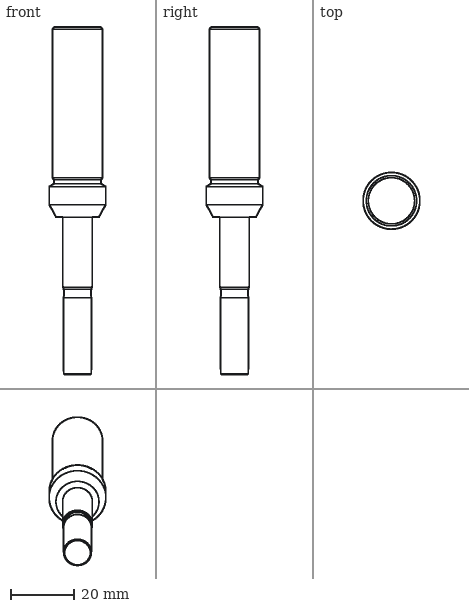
import cadquery as cq

HANDLE_TOP = 110.0
HANDLE_BOTTOM = 62.3
COLLAR_TOP = 59.5
COLLAR_SHOULDER = 53.8
COLLAR_BOTTOM = 49.8
STEM_BOTTOM = 27.7
JOINT = 24.3

HANDLE_RADIUS = 16.0 / 2
HANDLE_GROOVE_RADIUS = 15.0 / 2
HANDLE_CHAMFER = 0.7
GROOVE_CHAMFER_HEIGHT = 0.7
COLLAR_RADIUS = 18.0 / 2
COLLAR_BOTTOM_RADIUS = 6.8
COLLAR_CONE_HEIGHT = 0.9
FLARE_SAG = 0.07

STEM_RADIUS = 9.5 / 2
NECK_LAND_RADIUS = 8.9 / 2
NECK_LAND_HEIGHT = 0.7
NECK_RADIUS = 8.7 / 2
NECK_FLARE_RADIUS = 8.9 / 2
NECK_FLARE_HEIGHT = 0.7

PLUG_RIM_RADIUS = 9.0 / 2
PLUG_RADIUS = 8.9 / 2
PLUG_RIM_HEIGHT = 1.6
PLUG_NOSE_HEIGHT = 2.3
PLUG_NOSE_RADIUS = 8.8 / 2
PLUG_TIP_CHAMFER = 0.3


def make_handle():
    """Turned handle with its collar, stem and neck."""
    flare_middle = (
        (COLLAR_RADIUS + COLLAR_BOTTOM_RADIUS) / 2 - FLARE_SAG,
        (COLLAR_SHOULDER + COLLAR_BOTTOM) / 2,
    )
    return (
        cq.Workplane("XZ")
        .moveTo(0, HANDLE_TOP)
        .lineTo(HANDLE_RADIUS - HANDLE_CHAMFER, HANDLE_TOP)
        .lineTo(HANDLE_RADIUS, HANDLE_TOP - HANDLE_CHAMFER)
        .lineTo(HANDLE_RADIUS, HANDLE_BOTTOM)
        .lineTo(HANDLE_GROOVE_RADIUS, HANDLE_BOTTOM - GROOVE_CHAMFER_HEIGHT)
        .lineTo(HANDLE_GROOVE_RADIUS, COLLAR_TOP + COLLAR_CONE_HEIGHT)
        .lineTo(COLLAR_RADIUS, COLLAR_TOP)
        .lineTo(COLLAR_RADIUS, COLLAR_SHOULDER)
        .threePointArc(flare_middle, (COLLAR_BOTTOM_RADIUS, COLLAR_BOTTOM))
        .lineTo(STEM_RADIUS, COLLAR_BOTTOM)
        .lineTo(STEM_RADIUS, STEM_BOTTOM)
        .lineTo(NECK_LAND_RADIUS, STEM_BOTTOM)
        .lineTo(NECK_LAND_RADIUS, STEM_BOTTOM - NECK_LAND_HEIGHT)
        .lineTo(NECK_RADIUS, STEM_BOTTOM - NECK_LAND_HEIGHT)
        .lineTo(NECK_RADIUS, JOINT + NECK_FLARE_HEIGHT)
        .lineTo(NECK_FLARE_RADIUS, JOINT)
        .lineTo(0, JOINT)
        .close()
        .revolve(360, (0, 0, 0), (0, 1, 0))
    )


def make_plug():
    """Cylindrical plug with a slightly wider rim and a tapered nose."""
    return (
        cq.Workplane("XZ")
        .moveTo(0, JOINT)
        .lineTo(PLUG_RIM_RADIUS, JOINT)
        .lineTo(PLUG_RADIUS, JOINT - PLUG_RIM_HEIGHT)
        .lineTo(PLUG_RADIUS, PLUG_NOSE_HEIGHT)
        .lineTo(PLUG_NOSE_RADIUS, PLUG_TIP_CHAMFER)
        .lineTo(PLUG_NOSE_RADIUS - PLUG_TIP_CHAMFER, 0)
        .lineTo(0, 0)
        .close()
        .revolve(360, (0, 0, 0), (0, 1, 0))
    )


handle = make_handle()
plug = make_plug()

result = cq.Compound.makeCompound([handle.val(), plug.val()])